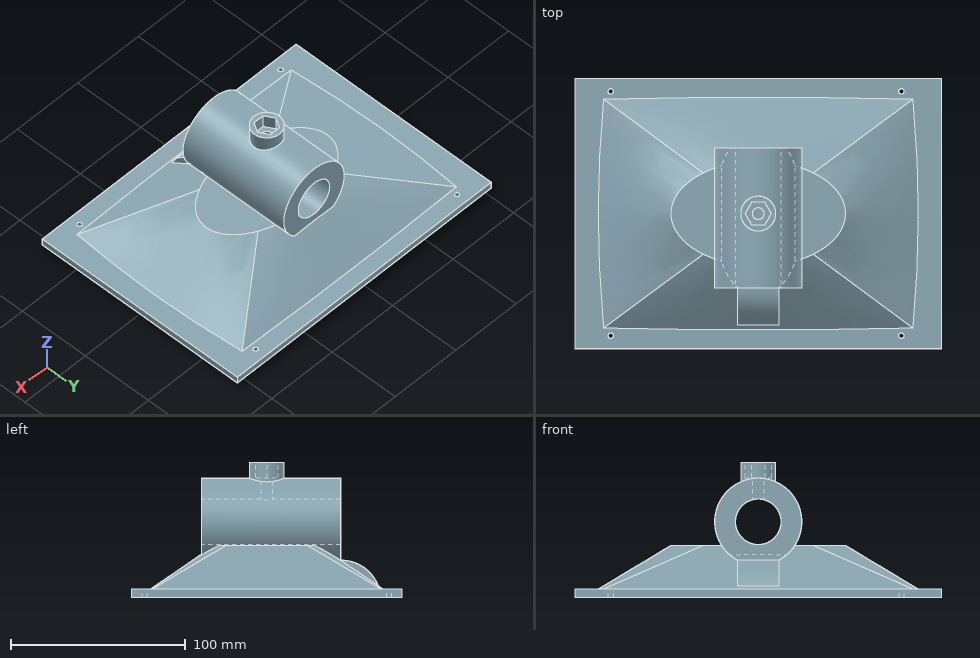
import cadquery as cq
import math

PLATE_LENGTH = 210.0
PLATE_WIDTH = 155.0
PLATE_THICKNESS = 5.0

SCREW_DIAMETER = 2.93
SCREW_SPACING_X = 166.5
SCREW_SPACING_Y = 140.0
SCREW_CENTER_X = -1.25

PEDESTAL_LENGTH = 200.0
PEDESTAL_WIDTH = 148.0
PEDESTAL_TOP = 30.0
ELLIPSE_RADIUS_X = 50.0
ELLIPSE_RADIUS_Y = 30.0

TUBE_DIAMETER = 50.0
BORE_DIAMETER = 26.0
TUBE_FRONT = -42.5
TUBE_LENGTH = 80.0
TUBE_AXIS_Z = 43.5
TUBE_TOP = TUBE_AXIS_Z + TUBE_DIAMETER / 2

BOSS_DIAMETER = 20.0
BOSS_TOP = 77.5
NUT_ACROSS_FLATS = 13.0
NUT_POCKET_DEPTH = BOSS_TOP - TUBE_TOP
CLAMP_HOLE_DIAMETER = 6.78

SUPPORT_WIDTH = 24.0
SUPPORT_TOP = TUBE_AXIS_Z - math.sqrt((TUBE_DIAMETER / 2) ** 2 - (SUPPORT_WIDTH / 2) ** 2)
SUPPORT_RADIUS = 23.0


def make_plate():
    return cq.Workplane("XY").box(
        PLATE_LENGTH, PLATE_WIDTH, PLATE_THICKNESS, centered=(True, True, False)
    )


def make_screw_holes():
    """Four cylinders through the plate, to be cut once the pedestal is joined."""
    return (
        cq.Workplane("XY", origin=(SCREW_CENTER_X, 0, 0))
        .rect(SCREW_SPACING_X, SCREW_SPACING_Y, forConstruction=True)
        .vertices()
        .circle(SCREW_DIAMETER / 2)
        .extrude(PLATE_THICKNESS)
    )


def make_pedestal():
    """Ruled loft whose four ridges follow the diagonals of the rectangle."""
    half_length = PEDESTAL_LENGTH / 2
    half_width = PEDESTAL_WIDTH / 2
    split = math.degrees(math.atan2(half_width / ELLIPSE_RADIUS_Y, half_length / ELLIPSE_RADIUS_X))
    split_angles = [-split, split, 180 - split, 180 + split, 360 - split]
    corners = [
        cq.Vector(half_length, -half_width, 0),
        cq.Vector(half_length, half_width, 0),
        cq.Vector(-half_length, half_width, 0),
        cq.Vector(-half_length, -half_width, 0),
    ]
    bottom = cq.Wire.makePolygon(corners, close=True)
    arcs = [
        cq.Edge.makeEllipse(
            ELLIPSE_RADIUS_X,
            ELLIPSE_RADIUS_Y,
            cq.Vector(0, 0, PEDESTAL_TOP),
            cq.Vector(0, 0, 1),
            cq.Vector(1, 0, 0),
            start,
            end,
        )
        for start, end in zip(split_angles, split_angles[1:])
    ]
    top = cq.Wire.assembleEdges(arcs)
    return cq.Workplane(cq.Solid.makeLoft([bottom, top], True))


def make_cylinder_along_y(diameter):
    """Cylinder on the tube axis, over the length of the tube."""
    return (
        cq.Workplane("XZ", origin=(0, TUBE_FRONT, TUBE_AXIS_Z))
        .circle(diameter / 2)
        .extrude(-TUBE_LENGTH)
    )


def make_boss():
    return (
        cq.Workplane("XY", origin=(0, 0, TUBE_AXIS_Z))
        .circle(BOSS_DIAMETER / 2)
        .extrude(BOSS_TOP - TUBE_AXIS_Z)
    )


def make_clamp_cut():
    """Hexagonal nut pocket above a round hole that reaches the bore."""
    corner_diameter = NUT_ACROSS_FLATS / math.cos(math.radians(30))
    pocket = (
        cq.Workplane("XY", origin=(0, 0, BOSS_TOP))
        .polygon(6, corner_diameter)
        .extrude(-NUT_POCKET_DEPTH)
    )
    hole = (
        cq.Workplane("XY", origin=(0, 0, TUBE_AXIS_Z))
        .circle(CLAMP_HOLE_DIAMETER / 2)
        .extrude(BOSS_TOP - TUBE_AXIS_Z)
    )
    return pocket.union(hole)


def make_support():
    """Block under the tube whose front face rounds down into the pedestal."""
    arc_center_z = SUPPORT_TOP - SUPPORT_RADIUS
    arc_end_angle = math.asin((PLATE_THICKNESS - arc_center_z) / SUPPORT_RADIUS)
    arc_mid_angle = (arc_end_angle + math.pi / 2) / 2

    def arc_point(angle):
        y = TUBE_FRONT - SUPPORT_RADIUS * math.cos(angle)
        z = arc_center_z + SUPPORT_RADIUS * math.sin(angle)
        return (y, z)

    return (
        cq.Workplane("YZ")
        .moveTo(0, PLATE_THICKNESS)
        .lineTo(0, SUPPORT_TOP)
        .lineTo(TUBE_FRONT, SUPPORT_TOP)
        .threePointArc(arc_point(arc_mid_angle), arc_point(arc_end_angle))
        .close()
        .extrude(SUPPORT_WIDTH / 2, both=True)
    )


result = (
    make_plate()
    .union(make_pedestal())
    .union(make_support())
    .union(make_cylinder_along_y(TUBE_DIAMETER))
    .union(make_boss())
    .cut(make_cylinder_along_y(BORE_DIAMETER))
    .cut(make_clamp_cut())
    .cut(make_screw_holes())
)